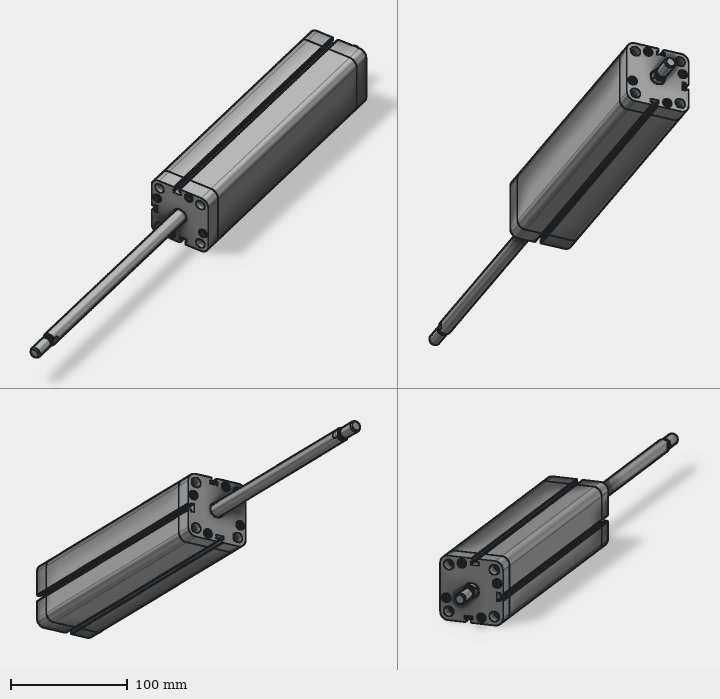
import cadquery as cq
import math

HEX_SIDES = 6

BODY_SIZE = 58.1
OVERALL_LENGTH = 502.5
STROKE = 200.0
REAR_PROJECTION = 27.5
FRONT_PROJECTION = REAR_PROJECTION + STROKE
BODY_LENGTH = OVERALL_LENGTH - FRONT_PROJECTION - REAR_PROJECTION
CORNER_RADIUS = 7.5

CAP_LENGTH = 15.4
JOINT_SIZE = 0.05

SLOT_OFFSET = 3.0
SLOT_OPENING = 4.5
SLOT_WIDTH = 7.5
SLOT_DEPTH = 6.0
SLOT_LIP = 3.0
SLOT_CHAMFER = 0.9
SLOT_CHAMFER_DEPTH = 0.5
SLOT_TURNS = (0, 90, 180)

MOUNT_OFFSET = 21.0
MOUNT_BORE = 4.92
MOUNT_COUNTERBORE = 9.0
MOUNT_COUNTERBORE_DEPTH = 12.0

SCREW_SIDE = 9.0
SCREW_OUT = 23.5
SCREW_RECESS = 8.0
SCREW_RECESS_DEPTH = 0.5
SCREW_RIM = 6.0
SCREW_RIM_DEPTH = 3.0
SCREW_HEX = 4.0
SCREW_HEX_DEPTH = 6.0

ROD_DIAMETER = 12.0
ROD_CHAMFER = 1.0
ROD_RECESS = 13.6
ROD_RECESS_DEPTH = 2.0
THREAD_DIAMETER = 10.0
THREAD_LENGTH = 22.0
THREAD_CHAMFER = 1.0
THREAD_CHAMFER_LENGTH = 1.6
NECK_DIAMETER = 8.57
NECK_LENGTH = 3.0
FLAT_WIDTH = 10.0
FLAT_LENGTH = 7.3
FLAT_RUNOUT_RADIUS = 3.0


def front_plane(y):
    """Sketch plane across the rod: local x is X, local y is Z, normal is -Y."""
    return cq.Workplane("XZ", origin=(0, y, 0))


def quarter_turn(shape, angle):
    return shape.rotate((0, 0, 0), (0, -1, 0), angle)


def make_body():
    block = front_plane(BODY_LENGTH).rect(BODY_SIZE, BODY_SIZE).extrude(BODY_LENGTH)
    return block.edges("|Y").fillet(CORNER_RADIUS)


def cap_joint(y):
    inner_size = BODY_SIZE - 2 * JOINT_SIZE
    ring = front_plane(y + JOINT_SIZE / 2).rect(BODY_SIZE, BODY_SIZE).extrude(JOINT_SIZE)
    core = front_plane(y + JOINT_SIZE / 2).rect(inner_size, inner_size).extrude(JOINT_SIZE)
    core = core.edges("|Y").fillet(CORNER_RADIUS - JOINT_SIZE)
    return ring.cut(core)


def sensor_slot():
    top = BODY_SIZE / 2
    floor = top - SLOT_DEPTH
    wide_height = SLOT_DEPTH - SLOT_LIP
    half_opening = SLOT_OPENING / 2
    mouth_points = [
        (-half_opening - SLOT_CHAMFER, top),
        (half_opening + SLOT_CHAMFER, top),
        (half_opening, top - SLOT_CHAMFER_DEPTH),
        (-half_opening, top - SLOT_CHAMFER_DEPTH),
    ]
    sketch = front_plane(BODY_LENGTH)
    mouth = sketch.polyline(mouth_points).close().extrude(BODY_LENGTH)
    neck = sketch.center(0, top - SLOT_DEPTH / 2).rect(SLOT_OPENING, SLOT_DEPTH).extrude(BODY_LENGTH)
    sketch = front_plane(BODY_LENGTH)
    channel = sketch.center(0, floor + wide_height / 2).rect(SLOT_WIDTH, wide_height).extrude(BODY_LENGTH)
    return mouth.union(neck).union(channel).translate((-SLOT_OFFSET, 0, 0))


def end_holes(points, diameter, depth):
    """Blind round holes cut into both end faces."""
    front = front_plane(depth).pushPoints(points).circle(diameter / 2).extrude(depth)
    rear = front_plane(BODY_LENGTH).pushPoints(points).circle(diameter / 2).extrude(depth)
    return front.union(rear)


def cut_mounting_holes(body):
    points = [(x, z) for x in (-MOUNT_OFFSET, MOUNT_OFFSET) for z in (-MOUNT_OFFSET, MOUNT_OFFSET)]
    bores = front_plane(BODY_LENGTH).pushPoints(points).circle(MOUNT_BORE / 2).extrude(BODY_LENGTH)
    return body.cut(bores).cut(end_holes(points, MOUNT_COUNTERBORE, MOUNT_COUNTERBORE_DEPTH))


def cut_screws(body):
    points = [
        (SCREW_SIDE, SCREW_OUT),
        (-SCREW_OUT, SCREW_SIDE),
        (-SCREW_SIDE, -SCREW_OUT),
        (SCREW_OUT, -SCREW_SIDE),
    ]
    body = body.cut(end_holes(points, SCREW_RECESS, SCREW_RECESS_DEPTH))
    body = body.cut(end_holes(points, SCREW_RIM, SCREW_RIM_DEPTH))
    hex_diameter = SCREW_HEX / math.cos(math.pi / HEX_SIDES)
    for y in (SCREW_HEX_DEPTH, BODY_LENGTH):
        sockets = front_plane(y).pushPoints(points).polygon(HEX_SIDES, hex_diameter)
        body = body.cut(sockets.extrude(SCREW_HEX_DEPTH))
    return body


def flat_cutter(side):
    """Block that mills one wrench flat with a rounded run-out; side is -1 or 1 along X."""
    inner_face = "<X" if side > 0 else ">X"
    cutter = cq.Workplane().box(ROD_DIAMETER, FLAT_LENGTH, ROD_DIAMETER)
    cutter = cutter.faces(inner_face).edges("<Y").fillet(FLAT_RUNOUT_RADIUS)
    return cutter.translate((side * (FLAT_WIDTH + ROD_DIAMETER) / 2, 0, 0))


def make_rod():
    half = OVERALL_LENGTH / 2
    shoulder = half - THREAD_LENGTH
    thread_start = shoulder + NECK_LENGTH
    rod_radius = ROD_DIAMETER / 2
    thread_radius = THREAD_DIAMETER / 2
    neck_radius = NECK_DIAMETER / 2
    half_profile = [
        (0, 0),
        (rod_radius, 0),
        (rod_radius, shoulder - ROD_CHAMFER),
        (rod_radius - ROD_CHAMFER, shoulder),
        (neck_radius, shoulder),
        (neck_radius, thread_start),
        (thread_radius, thread_start),
        (thread_radius, half - THREAD_CHAMFER_LENGTH),
        (thread_radius - THREAD_CHAMFER, half),
        (0, half),
    ]
    half_rod = cq.Workplane("XY").polyline(half_profile).close().revolve(360, (0, 0, 0), (0, 1, 0))
    flat_center = shoulder - FLAT_LENGTH / 2
    for side in (-1, 1):
        half_rod = half_rod.cut(flat_cutter(side).translate((0, flat_center, 0)))
    rod = half_rod.union(half_rod.mirror("XZ"))
    return rod.translate((0, half - FRONT_PROJECTION, 0))


body = make_body()
for joint_y in (CAP_LENGTH, BODY_LENGTH - CAP_LENGTH):
    body = body.cut(cap_joint(joint_y))
for turn in SLOT_TURNS:
    body = body.cut(quarter_turn(sensor_slot(), turn))
body = cut_mounting_holes(body)
body = cut_screws(body)
body = body.cut(end_holes([(0, 0)], ROD_RECESS, ROD_RECESS_DEPTH))
result = body.union(make_rod())